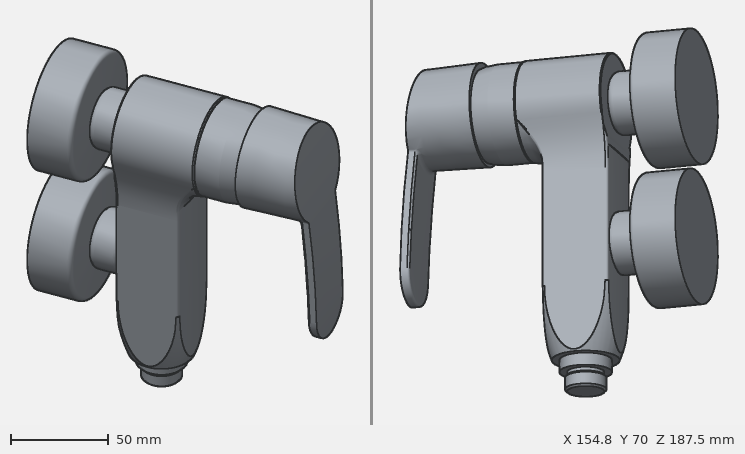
import cadquery as cq
import math


TOTAL_HEIGHT = 187.5

ROSE_R = 35.0
ROSE_RIM_X = 22.7
ROSE_FACE_X = 25.1
ROSE_ROUND = 2.2
ROSE_SPACING = 75.0
UNION_R = 16.5
UNION_START_X = 25.9
UNION_END_X = 43.1
UNION_ROUND_LENGTH = 3.4
UNION_ROUND_DEPTH = 1.9

BARREL_R = 26.5
BARREL_START_X = 43.1
BARREL_END_X = 90.1
BARREL_REAR_CHAMFER = 0.5
BARREL_FRONT_CHAMFER = 1.0

COLUMN_BACK_X = 41.5
COLUMN_FRONT_X = 78.1
COLUMN_MID_X = (COLUMN_BACK_X + COLUMN_FRONT_X) / 2
COLUMN_HALF_WIDTH = 17.8
COLUMN_BOTTOM_Z = -135.7
BULGE = 0.5
CORNER_BACK_X = COLUMN_BACK_X + BULGE
CORNER_FRONT_X = COLUMN_FRONT_X - BULGE
CORNER_R = 1.3
FLARE_R = 65.2
BACK_BEND_Z = -31.0
BACK_BEND_TOP_Z = -16.9
NECK_R = 11.2
NECK_END_X = CORNER_FRONT_X + NECK_R
TAPER_TOP_Z = -99.3
TAPER_TOP_R = 24.2
TAPER_BOTTOM_R = 17.5

COLLAR_R = 13.5
COLLAR_END_Z = -142.0
GROOVE_R = 9.5
GROOVE_END_Z = -144.0
THREAD_R = 10.7
THREAD_CHAMFER = THREAD_R - GROOVE_R
OUTLET_END_Z = ROSE_R - TOTAL_HEIGHT

RING_R = 26.0
RING_STRAIGHT_END_X = 104.2
RING_END_X = 113.8
RING_END_R = 24.4

HANDLE_R = 27.0
HANDLE_END_R = 25.9
HANDLE_TAPER_END_X = 151.8
HANDLE_Z = 0.7
HANDLE_TOP_X = 143.2
HANDLE_TOP_Z = 26.6
FRONT_MID_X = 152.5
FRONT_MID_Z = -41.6
LEVER_TIP_X = 154.8
LEVER_TIP_Z = -97.8
LEVER_HALF_WIDTH = 16.1
LEVER_TIP_THICKNESS = 4.7
LEVER_ROOT_X = 144.9
LEVER_ROOT_Z = -15.0
LEVER_EDGE_R = 1.1
LEVER_ROOT_FILLET = 1.9
LEVER_REAR_MID_X = 148.6
LEVER_REAR_MID_Z = -57.5


def tangent_arc_radius(length, depth):
    """Radius of an arc that leaves a line tangentially and sinks by depth over the given length."""
    return (length**2 + depth**2) / (2 * depth)


def revolve_about_x(profile):
    """Turn an (x, radius) profile about the X axis."""
    return profile.close().revolve(360, (0, 0, 0), (1, 0, 0))


def revolve_about_column(profile):
    """Turn a (radius, z) profile about the vertical column axis."""
    turned = profile.close().revolve(360, (0, 0, 0), (0, 1, 0))
    return turned.translate((COLUMN_MID_X, 0, 0))



def rose_with_union(z):
    """Wall rose with a rounded, slightly conical face, and its union running to the mixer."""
    union_end_r = UNION_R - UNION_ROUND_DEPTH
    round_r = tangent_arc_radius(UNION_ROUND_LENGTH, UNION_ROUND_DEPTH)
    rose = revolve_about_x(
        cq.Workplane("XZ")
        .lineTo(0, ROSE_R)
        .lineTo(ROSE_RIM_X, ROSE_R)
        .tangentArcPoint((ROSE_FACE_X, ROSE_R - ROSE_ROUND), relative=False)
        .lineTo(UNION_START_X, union_end_r)
        .lineTo(UNION_START_X, 0)
    )
    union = revolve_about_x(
        cq.Workplane("XZ")
        .moveTo(ROSE_RIM_X, 0)
        .lineTo(ROSE_RIM_X, union_end_r)
        .lineTo(UNION_START_X, union_end_r)
        .radiusArc((UNION_START_X + UNION_ROUND_LENGTH, UNION_R), round_r)
        .lineTo(UNION_END_X - UNION_ROUND_LENGTH, UNION_R)
        .radiusArc((UNION_END_X, union_end_r), round_r)
        .lineTo(UNION_END_X, 0)
    )
    return rose.union(union).translate((0, 0, z))


def barrel():
    body = cq.Workplane("YZ", origin=(BARREL_START_X, 0, 0)).circle(BARREL_R)
    body = body.extrude(BARREL_END_X - BARREL_START_X)
    body = body.faces("<X").chamfer(BARREL_REAR_CHAMFER)
    return body.faces(">X").chamfer(BARREL_FRONT_CHAMFER)


def column_blank():
    """Column with concave flared sides that run tangent into the barrel, extruded along X."""
    flare_centre_y = COLUMN_HALF_WIDTH + FLARE_R
    centre_distance = BARREL_R + FLARE_R
    flare_start_z = -math.sqrt(centre_distance**2 - flare_centre_y**2)
    flare_top_y = flare_centre_y * BARREL_R / centre_distance
    flare_top_z = flare_start_z * BARREL_R / centre_distance
    return (
        cq.Workplane("YZ", origin=(CORNER_BACK_X, 0, 0))
        .moveTo(-COLUMN_HALF_WIDTH, COLUMN_BOTTOM_Z)
        .lineTo(COLUMN_HALF_WIDTH, COLUMN_BOTTOM_Z)
        .lineTo(COLUMN_HALF_WIDTH, flare_start_z)
        .radiusArc((flare_top_y, flare_top_z), FLARE_R)
        .lineTo(-flare_top_y, flare_top_z)
        .radiusArc((-COLUMN_HALF_WIDTH, flare_start_z), FLARE_R)
        .close()
        .extrude(NECK_END_X - CORNER_BACK_X)
    )


def neck_cutter():
    """Space in front of the column, rounded out around the barrel."""
    outer = abs(2 * COLUMN_BOTTOM_Z)
    return revolve_about_x(
        cq.Workplane("XZ")
        .moveTo(NECK_END_X, BARREL_R)
        .radiusArc((CORNER_FRONT_X, BARREL_R + NECK_R), NECK_R)
        .lineTo(CORNER_FRONT_X, outer)
        .lineTo(NECK_END_X, outer)
    )


def back_bend_cutter():
    """Sliver behind the column that bends its back face in to the barrel."""
    rise = BACK_BEND_TOP_Z - BACK_BEND_Z
    inset = BARREL_START_X - COLUMN_BACK_X
    bend_r = tangent_arc_radius(rise, inset)
    return (
        cq.Workplane("XZ")
        .moveTo(COLUMN_BACK_X, BACK_BEND_Z)
        .radiusArc((BARREL_START_X, BACK_BEND_TOP_Z), bend_r)
        .lineTo(BARREL_START_X, 0)
        .lineTo(COLUMN_BACK_X, 0)
        .close()
        .extrude(BARREL_R, both=True)
    )


def foot_cutter():
    """Turned cutter around the foot that rounds the corners of the column towards its foot."""
    drop = TAPER_TOP_Z - COLUMN_BOTTOM_Z
    inset = TAPER_TOP_R - TAPER_BOTTOM_R
    taper_r = tangent_arc_radius(drop, inset)
    outer = 2 * TAPER_TOP_R
    return revolve_about_column(
        cq.Workplane("XZ")
        .moveTo(TAPER_BOTTOM_R, COLUMN_BOTTOM_Z)
        .radiusArc((TAPER_TOP_R, TAPER_TOP_Z), -taper_r)
        .lineTo(outer, TAPER_TOP_Z)
        .lineTo(outer, COLUMN_BOTTOM_Z)
    )


def bulged_section():
    """Plan outline of the slightly bulged front and back faces, between the rounded corners."""
    half = COLUMN_HALF_WIDTH - CORNER_R
    return (
        cq.Workplane("XY", origin=(0, 0, COLUMN_BOTTOM_Z))
        .moveTo(CORNER_BACK_X, -half)
        .threePointArc((COLUMN_BACK_X, 0), (CORNER_BACK_X, half))
        .lineTo(CORNER_FRONT_X, half)
        .threePointArc((COLUMN_FRONT_X, 0), (CORNER_FRONT_X, -half))
        .close()
        .extrude(-COLUMN_BOTTOM_Z - BARREL_R)
    )


def column():
    """Flared column; the corner rounding follows its edges up the flare to the barrel."""
    body = column_blank().cut(neck_cutter())
    body = body.faces("<X").edges("not |Y").fillet(CORNER_R)
    body = body.edges("|Z").edges(">X").fillet(CORNER_R)
    body = body.union(bulged_section())
    return body.cut(back_bend_cutter()).cut(foot_cutter())


def outlet():
    return revolve_about_column(
        cq.Workplane("XZ")
        .moveTo(0, COLUMN_BOTTOM_Z)
        .lineTo(COLLAR_R, COLUMN_BOTTOM_Z)
        .lineTo(COLLAR_R, COLLAR_END_Z)
        .lineTo(GROOVE_R, COLLAR_END_Z)
        .lineTo(GROOVE_R, GROOVE_END_Z)
        .lineTo(THREAD_R, GROOVE_END_Z - THREAD_CHAMFER)
        .lineTo(THREAD_R, OUTLET_END_Z + THREAD_CHAMFER)
        .lineTo(GROOVE_R, OUTLET_END_Z)
        .lineTo(0, OUTLET_END_Z)
    )


def make_mixer_body():
    body = barrel().union(column()).union(outlet())
    for z in (0, -ROSE_SPACING):
        body = body.union(rose_with_union(z))
    return body



def make_cartridge_ring():
    return revolve_about_x(
        cq.Workplane("XZ")
        .moveTo(BARREL_END_X, 0)
        .lineTo(BARREL_END_X, RING_R)
        .lineTo(RING_STRAIGHT_END_X, RING_R)
        .tangentArcPoint((RING_END_X, RING_END_R), relative=False)
        .lineTo(RING_END_X, 0)
    )



def handle_cap():
    return revolve_about_x(
        cq.Workplane("XZ")
        .moveTo(RING_END_X, 0)
        .lineTo(RING_END_X, HANDLE_R)
        .lineTo(HANDLE_TAPER_END_X, HANDLE_END_R)
        .lineTo(HANDLE_TAPER_END_X, 0)
    ).translate((0, 0, HANDLE_Z))


def front_envelope():
    """Everything behind the gently curved front surface shared by cap and lever."""
    above = HANDLE_TOP_Z + HANDLE_R
    return (
        cq.Workplane("XZ")
        .moveTo(RING_END_X, LEVER_TIP_Z)
        .lineTo(LEVER_TIP_X, LEVER_TIP_Z)
        .threePointArc((FRONT_MID_X, FRONT_MID_Z), (HANDLE_TOP_X, HANDLE_TOP_Z))
        .lineTo(HANDLE_TOP_X, above)
        .lineTo(RING_END_X, above)
        .close()
        .extrude(2 * HANDLE_R, both=True)
    )


def lever():
    """Thin curved blade with a semicircular tip."""
    side = (
        cq.Workplane("XZ")
        .moveTo(LEVER_TIP_X - LEVER_TIP_THICKNESS, LEVER_TIP_Z)
        .threePointArc((LEVER_REAR_MID_X, LEVER_REAR_MID_Z), (LEVER_ROOT_X, LEVER_ROOT_Z))
        .lineTo(LEVER_ROOT_X, 0)
        .lineTo(LEVER_TIP_X, 0)
        .lineTo(LEVER_TIP_X, LEVER_TIP_Z)
        .close()
        .extrude(LEVER_HALF_WIDTH, both=True)
    )
    tip_centre_z = LEVER_TIP_Z + LEVER_HALF_WIDTH
    outline = (
        cq.Workplane("YZ")
        .moveTo(-LEVER_HALF_WIDTH, 0)
        .lineTo(-LEVER_HALF_WIDTH, tip_centre_z)
        .threePointArc((0, LEVER_TIP_Z), (LEVER_HALF_WIDTH, tip_centre_z))
        .lineTo(LEVER_HALF_WIDTH, 0)
        .close()
        .extrude(2 * LEVER_TIP_X)
    )
    rear_middle = (LEVER_REAR_MID_X, 0, LEVER_REAR_MID_Z)
    blade = side.intersect(outline)
    rear_face = blade.faces(cq.selectors.NearestToPointSelector(rear_middle))
    return rear_face.edges("not |Y").fillet(LEVER_EDGE_R)


def make_handle():
    body = handle_cap().union(lever()).intersect(front_envelope())
    root = cq.selectors.NearestToPointSelector((LEVER_ROOT_X, 0, HANDLE_Z - HANDLE_END_R))
    return body.edges(root).fillet(LEVER_ROOT_FILLET)


mixer_body = make_mixer_body()
cartridge_ring = make_cartridge_ring()
handle = make_handle()

result = cq.Compound.makeCompound([mixer_body.val(), cartridge_ring.val(), handle.val()])